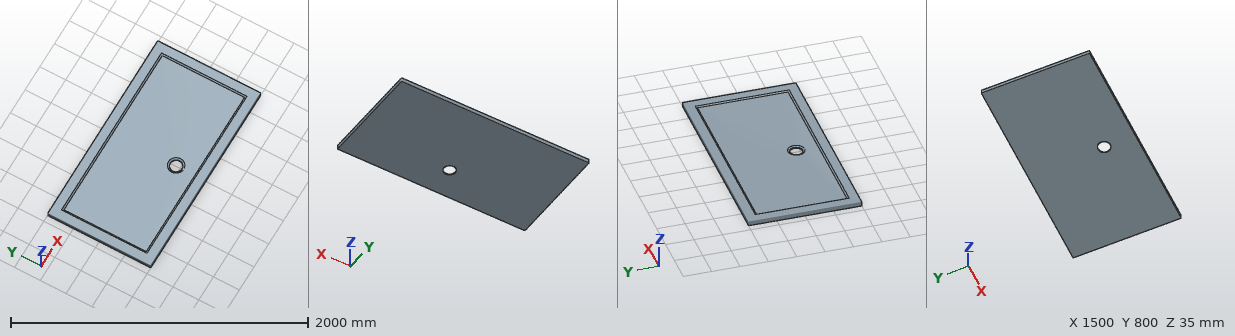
import cadquery as cq
import math

LENGTH = 1500.0
WIDTH = 800.0
HEIGHT = 35.0
EDGE_FILLET = 3.0
CORNER_RADIUS = 3.8

RIM_WIDTH = 69.0
STEP_WIDTH = 12.0
RIM_FALL = 2.0
STEP_DEPTH = 8.0

DRAIN_Y = -170.0
SEAT_RADIUS = 58.0
HOLE_RADIUS = 45.0
SEAT_DEPTH = 6.0
FLOOR_FALL = 10.0

CORNER_CREASES = (30, 150, 210, 330)
CREASE_HALF_ANGLE = 0.5
END_CREASES = (180, 360)

RIM_Z = HEIGHT - RIM_FALL
FLOOR_EDGE_Z = RIM_Z - STEP_DEPTH
SEAT_Z = FLOOR_EDGE_Z - FLOOR_FALL
HOLE_Z = SEAT_Z - SEAT_DEPTH


def outline_edges(inset, z):
    """Rounded rectangle: four corner arcs, each followed by a side, starting at +X +Y."""
    x = LENGTH / 2 - inset - CORNER_RADIUS
    y = WIDTH / 2 - inset - CORNER_RADIUS
    arcs = []
    for quarter, (center_x, center_y) in enumerate(((x, y), (-x, y), (-x, -y), (x, -y))):
        points = []
        for angle in (90 * quarter, 90 * quarter + 45, 90 * quarter + 90):
            turn = math.radians(angle)
            points.append(cq.Vector(
                center_x + CORNER_RADIUS * math.cos(turn),
                center_y + CORNER_RADIUS * math.sin(turn),
                z,
            ))
        arcs.append(cq.Edge.makeThreePointArc(*points))
    edges = []
    for arc, next_arc in zip(arcs, arcs[1:] + arcs[:1]):
        edges += [arc, cq.Edge.makeLine(arc.endPoint(), next_arc.startPoint())]
    return edges


def split_line(edge):
    """Two equal straight edges in place of one."""
    start = edge.startPoint()
    end = edge.endPoint()
    middle = (start + end) * 0.5
    return [cq.Edge.makeLine(start, middle), cq.Edge.makeLine(middle, end)]


def seat_point(angle):
    """Point on the upper edge of the drain seat."""
    turn = math.radians(angle)
    return cq.Vector(SEAT_RADIUS * math.cos(turn), DRAIN_Y + SEAT_RADIUS * math.sin(turn), SEAT_Z)


def seat_arcs():
    """Seat edge split where the creases meet it."""
    angles = []
    for angle in CORNER_CREASES:
        angles += [angle - CREASE_HALF_ANGLE, angle + CREASE_HALF_ANGLE]
    angles = sorted(angles + list(END_CREASES))
    ends = angles[1:] + [angles[0] + 360]
    return [
        cq.Edge.makeThreePointArc(seat_point(a), seat_point((a + b) / 2), seat_point(b))
        for a, b in zip(angles, ends)
    ]


def ruled_faces(first_edges, second_edges):
    return [cq.Face.makeRuledSurface(a, b) for a, b in zip(first_edges, second_edges)]


def make_body():
    body = cq.Workplane("XY").box(LENGTH, WIDTH, HEIGHT, centered=(True, True, False))
    body = body.edges("|Z").fillet(CORNER_RADIUS)
    return body.faces(">Z").edges().fillet(EDGE_FILLET)


def make_rim_cut():
    """Sloping rim and steep step, down to the edge of the floor."""
    sections = (
        (EDGE_FILLET, HEIGHT, RIM_WIDTH, RIM_Z),
        (RIM_WIDTH, RIM_Z, RIM_WIDTH + STEP_WIDTH, FLOOR_EDGE_Z),
    )
    cuts = []
    for upper_inset, upper_z, lower_inset, lower_z in sections:
        upper = cq.Wire.assembleEdges(outline_edges(upper_inset, upper_z))
        lower = cq.Wire.assembleEdges(outline_edges(lower_inset, lower_z))
        cuts.append(cq.Solid.makeLoft([upper, lower], True))
    return cuts[0].fuse(cuts[1])


def make_floor_cut():
    """Floor falling from its straight sides to the round drain seat."""
    edges = outline_edges(RIM_WIDTH + STEP_WIDTH, FLOOR_EDGE_Z)
    left_end = split_line(edges[3])
    right_end = split_line(edges[7])
    sides = edges[:3] + left_end + edges[4:7] + right_end
    arcs = seat_arcs()
    lid = cq.Face.makeFromWires(cq.Wire.assembleEdges(sides))
    base = cq.Face.makeFromWires(cq.Wire.assembleEdges(arcs))
    shell = cq.Shell.makeShell([lid, base] + ruled_faces(sides, arcs))
    return cq.Solid.makeSolid(shell).fix()


def make_drain_cut():
    axis = cq.Vector(0, 0, 1)
    seat = cq.Solid.makeCone(HOLE_RADIUS, SEAT_RADIUS, SEAT_DEPTH, cq.Vector(0, DRAIN_Y, HOLE_Z), axis)
    hole = cq.Solid.makeCylinder(HOLE_RADIUS, SEAT_Z, cq.Vector(0, DRAIN_Y, 0), axis)
    return seat.fuse(hole)


result = make_body().cut(make_rim_cut()).cut(make_floor_cut()).cut(make_drain_cut())